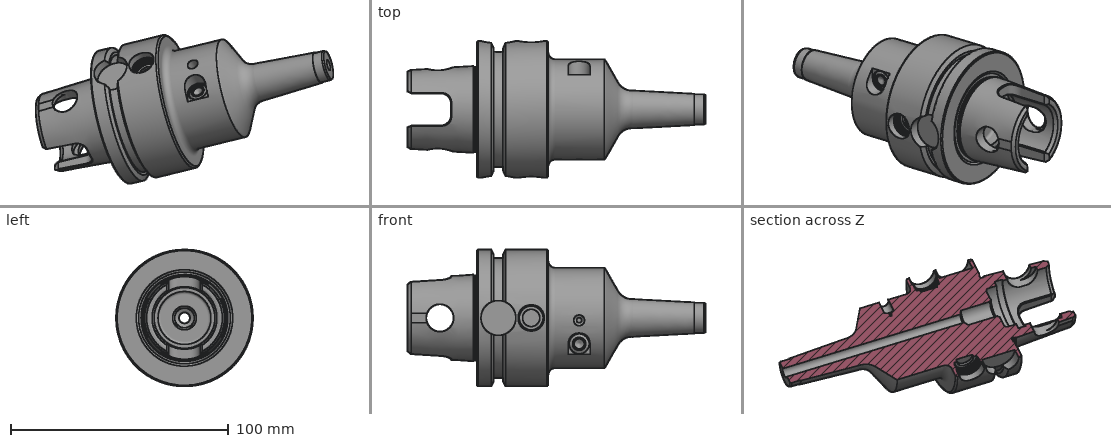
import cadquery as cq
import math

LENGTH = 137.0

SHANK_TIP_R = 18.4
SHANK_END_R = 17.4
SHANK_CHAMFER_X = 1.8
RELIEF_X = 30.3
RELIEF_R = 19.7
RELIEF_NECK_R = 19.5
RELIEF_NECK_X = 31.0
RELIEF_NECK_BEVEL = 0.4
SHANK_BASE_R = 20.0
SHANK_TAPER = (SHANK_BASE_R - SHANK_TIP_R) / (RELIEF_X - SHANK_CHAMFER_X)

FLANGE_X = 31.9
FLANGE_END_X = 64.8
FLANGE_R = 31.5
FLANGE_CHAMFER = 0.5
FLANGE_END_CHAMFER = 0.8
FACE_RECESS_DEPTH = 0.4
FACE_RECESS_INNER_R = 21.1
FACE_RECESS_OUTER_R = 22.2
GROOVE_START_X = 38.5
GROOVE_END_X = 45.1
GROOVE_BEVEL_X = 1.2
GROOVE_BEVEL_R = 29.0
GROOVE_R = 27.7

BODY_R = 23.2
BODY_FILLET = 3.0
BODY_END_X = 90.5
CONE_START_X = 91.2
CONE_START_R = 22.2
CONE_END_X = 96.9
CONE_END_R = 12.3
WAIST_END_X = 103.6
WAIST_END_R = 8.8
NOSE_SHOULDER_X = 131.8
NOSE_SHOULDER_R = 7.3
NOSE_R = 7.0
NOSE_CHAMFER = 0.8

MOUTH_R = 16.0
MOUTH_BEVEL_X = 0.3
MOUTH_INNER_R = 15.0
MOUTH_CHAMFER_X = 2.0
BORE_R = 14.0
BORE_END_X = 23.5
UNDERCUT_R = 14.8
UNDERCUT_END_X = 27.3
INNER_BORE_R = 12.2
FLOOR_X = 32.7
FLOOR_FILLET = 1.4
THREAD_R = 5.5
THREAD_CORE_R = 4.5
THREAD_END_X = 48.0
COOLANT_R = 2.5

SLOT_HALF_WIDTH = 7.3
SLOT_END_X = 19.9
SLOT_CORNER_R = 4.2
SLOT_FLARE = 1.0
SLOT_FLARE_X = 2.2
SLOT_EDGE_CHAMFER = 0.4

DRILL_POINT_SLOPE = 1 / math.tan(math.radians(59))

CROSS_HOLE_X = 15.0
CROSS_HOLE_D = 12.5
HOLE_RELIEF_X = 12.6
HOLE_RELIEF_Y = 16.2
KEY_FLAT_WIDTH = 4.5
POCKET_X = 41.8
POCKET_D = 16.0
POCKET_FLOOR_Y = 26.5
STEP_HOLE_X = 56.9
STEP_HOLE_STEPS = ((12.0, 4.1), (11.0, 8.2), (8.0, 9.6))
RING_COUNT = 3
RING_D = 11.5
RING_WIDTH = 0.5
RING_PITCH = 1.1
FIRST_RING_DEPTH = 5.2
RADIAL_X = 78.9
SET_HOLE_Z = -1.1
SET_HOLE_D = 5.0
SET_HOLE_DEPTH = 6.8
SET_PILOT_D = 2.3
SET_PILOT_DEPTH = 2.7
SCREW_Z = 11.9
SCREW_POCKET_D = 10.0
SCREW_FLOOR_Y = 16.0
SCREW_D = 9.2
SCREW_TOP_D = 6.0
SCREW_EDGE_DEPTH = 1.1
SCREW_CUP_D = 4.7


def revolve_about_x(profile):
    return profile.close().revolve(360, (0, 0, 0), (1, 0, 0))


def cone_along_y(x, y, z, start_r, end_r, height, side):
    """Cone that starts at (x, y, z) and runs along Y in the direction of side."""
    cone = cq.Solid.makeCone(start_r, end_r, height, cq.Vector(x, y, z), cq.Vector(0, side, 0))
    return cq.Workplane(obj=cone)


def cylinder_along_y(x, y, z, diameter, height, side):
    """Cylinder that starts at (x, y, z) and runs along Y in the direction of side."""
    cylinder = cq.Solid.makeCylinder(diameter / 2, height, cq.Vector(x, y, z), cq.Vector(0, side, 0))
    return cq.Workplane(obj=cylinder)


def turned_body():
    fillet_end = (FLANGE_END_X + BODY_FILLET, BODY_R)
    fillet_start = (FLANGE_END_X, BODY_R + BODY_FILLET)
    fillet_sag = BODY_FILLET * (1 - math.sqrt(0.5))
    fillet_mid = (FLANGE_END_X + fillet_sag, BODY_R + fillet_sag)
    return revolve_about_x(
        cq.Workplane("XY")
        .moveTo(0, 0)
        .lineTo(0, SHANK_END_R)
        .lineTo(SHANK_CHAMFER_X, SHANK_TIP_R)
        .lineTo(RELIEF_X, SHANK_BASE_R)
        .lineTo(RELIEF_X, RELIEF_R)
        .lineTo(RELIEF_NECK_X, RELIEF_R)
        .lineTo(RELIEF_NECK_X + RELIEF_NECK_BEVEL, RELIEF_NECK_R)
        .lineTo(FLANGE_X + FACE_RECESS_DEPTH, RELIEF_NECK_R)
        .lineTo(FLANGE_X + FACE_RECESS_DEPTH, FACE_RECESS_INNER_R)
        .lineTo(FLANGE_X, FACE_RECESS_OUTER_R)
        .lineTo(FLANGE_X, FLANGE_R - FLANGE_CHAMFER)
        .lineTo(FLANGE_X + FLANGE_CHAMFER, FLANGE_R)
        .lineTo(GROOVE_START_X, FLANGE_R)
        .lineTo(GROOVE_START_X + GROOVE_BEVEL_X, GROOVE_BEVEL_R)
        .lineTo(GROOVE_START_X + GROOVE_BEVEL_X, GROOVE_R)
        .lineTo(GROOVE_END_X - GROOVE_BEVEL_X, GROOVE_R)
        .lineTo(GROOVE_END_X - GROOVE_BEVEL_X, GROOVE_BEVEL_R)
        .lineTo(GROOVE_END_X, FLANGE_R)
        .lineTo(FLANGE_END_X - FLANGE_END_CHAMFER, FLANGE_R)
        .lineTo(FLANGE_END_X, FLANGE_R - FLANGE_END_CHAMFER)
        .lineTo(*fillet_start)
        .threePointArc(fillet_mid, fillet_end)
        .lineTo(BODY_END_X, BODY_R)
        .lineTo(CONE_START_X, CONE_START_R)
        .lineTo(CONE_END_X, CONE_END_R)
        .tangentArcPoint((WAIST_END_X, WAIST_END_R), relative=False)
        .lineTo(NOSE_SHOULDER_X, NOSE_SHOULDER_R)
        .lineTo(NOSE_SHOULDER_X, NOSE_R)
        .lineTo(LENGTH - NOSE_CHAMFER, NOSE_R)
        .lineTo(LENGTH, NOSE_R - NOSE_CHAMFER / 2)
        .lineTo(LENGTH, 0)
    )


def bore():
    return revolve_about_x(
        cq.Workplane("XY")
        .moveTo(0, 0)
        .lineTo(0, MOUTH_R)
        .lineTo(MOUTH_BEVEL_X, MOUTH_INNER_R)
        .lineTo(MOUTH_CHAMFER_X, BORE_R)
        .lineTo(BORE_END_X, BORE_R)
        .lineTo(BORE_END_X, UNDERCUT_R)
        .lineTo(UNDERCUT_END_X, UNDERCUT_R)
        .lineTo(UNDERCUT_END_X, INNER_BORE_R)
        .lineTo(FLOOR_X - FLOOR_FILLET, INNER_BORE_R)
        .tangentArcPoint((FLOOR_X, INNER_BORE_R - FLOOR_FILLET), relative=False)
        .lineTo(FLOOR_X, THREAD_R)
        .lineTo(FLOOR_X + THREAD_R - THREAD_CORE_R, THREAD_CORE_R)
        .lineTo(THREAD_END_X, THREAD_CORE_R)
        .lineTo(THREAD_END_X + (THREAD_CORE_R - COOLANT_R) * DRILL_POINT_SLOPE, COOLANT_R)
        .lineTo(LENGTH, COOLANT_R)
        .lineTo(LENGTH, 0)
    )


def drive_slots():
    slot = (
        cq.Workplane("XY")
        .moveTo(0, -SLOT_HALF_WIDTH - SLOT_FLARE)
        .lineTo(SLOT_FLARE_X, -SLOT_HALF_WIDTH)
        .lineTo(SLOT_END_X, -SLOT_HALF_WIDTH)
        .lineTo(SLOT_END_X, SLOT_HALF_WIDTH)
        .lineTo(SLOT_FLARE_X, SLOT_HALF_WIDTH)
        .lineTo(0, SLOT_HALF_WIDTH + SLOT_FLARE)
        .close()
        .extrude(FLANGE_R, both=True)
    )
    return slot.edges("|Z and >X").fillet(SLOT_CORNER_R)


def is_slot_rim(edge):
    """True for the edges where the slot walls meet the outside and the bore of the shank."""
    box = edge.BoundingBox()
    along_wall = box.xlen > SLOT_EDGE_CHAMFER or edge.Center().x > SLOT_END_X - SLOT_EDGE_CHAMFER
    in_slot = box.xmin > SLOT_FLARE_X - SLOT_EDGE_CHAMFER and box.xmax < SLOT_END_X + SLOT_EDGE_CHAMFER
    return in_slot and along_wall


def key_flat(side):
    """Narrow flat along the taper, from the end chamfer to the cross hole."""
    depth = SHANK_TIP_R - math.sqrt(SHANK_TIP_R**2 - (KEY_FLAT_WIDTH / 2) ** 2)
    start_y = SHANK_TIP_R - depth
    end_y = start_y + SHANK_TAPER * (CROSS_HOLE_X - SHANK_CHAMFER_X)
    return (
        cq.Workplane("XY")
        .moveTo(SHANK_CHAMFER_X, side * start_y)
        .lineTo(CROSS_HOLE_X, side * end_y)
        .lineTo(CROSS_HOLE_X, side * FLANGE_R)
        .lineTo(SHANK_CHAMFER_X, side * FLANGE_R)
        .close()
        .extrude(KEY_FLAT_WIDTH / 2, both=True)
    )


def step_hole(side):
    hole = cq.Workplane()
    for diameter, depth in STEP_HOLE_STEPS:
        hole = hole.add(cylinder_along_y(STEP_HOLE_X, side * (FLANGE_R - depth), 0, diameter, depth, side))
    for ring in range(RING_COUNT):
        ring_y = FLANGE_R - FIRST_RING_DEPTH - ring * RING_PITCH
        hole = hole.add(cylinder_along_y(STEP_HOLE_X, side * ring_y, 0, RING_D, RING_WIDTH, side))
    return hole.combine()


def screw_pocket(side):
    """Round-ended pocket open at the body surface, with a sunk cup-point screw."""
    z = side * SCREW_Z
    floor_y = side * SCREW_FLOOR_Y
    pocket = cylinder_along_y(RADIAL_X, floor_y, z, SCREW_POCKET_D, BODY_R, side)
    run_out = cq.Workplane("XY").box(SCREW_POCKET_D, BODY_R, BODY_R).translate(
        (RADIAL_X, floor_y + side * BODY_R / 2, z + side * BODY_R / 2)
    )
    rim_y = floor_y - side * SCREW_EDGE_DEPTH
    screw_hole = cylinder_along_y(RADIAL_X, rim_y, z, SCREW_D, SCREW_EDGE_DEPTH, side)
    screw = cone_along_y(RADIAL_X, rim_y, z, SCREW_D / 2, SCREW_TOP_D / 2, SCREW_EDGE_DEPTH, side)
    cup_r = SCREW_CUP_D / 2
    cup = cone_along_y(RADIAL_X, floor_y, z, cup_r, 0, cup_r * DRILL_POINT_SLOPE, -side)
    return pocket.union(run_out).union(screw_hole.cut(screw)).union(cup)


def set_hole():
    bottom_y = -BODY_R + SET_HOLE_DEPTH
    hole = cylinder_along_y(RADIAL_X, bottom_y, SET_HOLE_Z, SET_HOLE_D, SET_HOLE_DEPTH, -1)
    radius = SET_HOLE_D / 2
    point = cone_along_y(RADIAL_X, bottom_y, SET_HOLE_Z, radius, 0, radius * DRILL_POINT_SLOPE, 1)
    pilot = cylinder_along_y(RADIAL_X, bottom_y, SET_HOLE_Z, SET_PILOT_D, SET_PILOT_DEPTH, 1)
    return hole.union(point).union(pilot)


result = turned_body().cut(bore()).cut(drive_slots())
result = result.edges().filter(is_slot_rim).chamfer(SLOT_EDGE_CHAMFER)
result = result.cut(cylinder_along_y(CROSS_HOLE_X, -FLANGE_R, 0, CROSS_HOLE_D, 2 * FLANGE_R, 1))
result = result.cut(
    cylinder_along_y(HOLE_RELIEF_X, -HOLE_RELIEF_Y, 0, CROSS_HOLE_D, 2 * HOLE_RELIEF_Y, 1)
)
for side in (-1, 1):
    result = result.cut(key_flat(side))
    result = result.cut(cylinder_along_y(POCKET_X, side * POCKET_FLOOR_Y, 0, POCKET_D, FLANGE_R, side))
    result = result.cut(step_hole(side))
    result = result.cut(screw_pocket(side))
result = result.cut(set_hole())